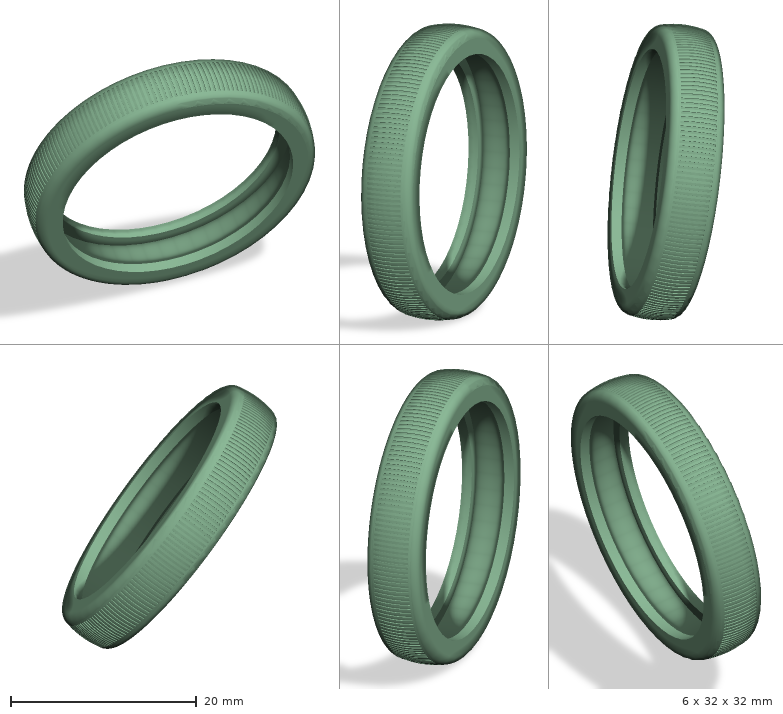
import cadquery as cq
import math

width = 6.0
outer_radius = 15.98
bore_radius = 13.0
crown_arc_radius = 9.5
edge_fillet = 1.0

recess_radius = 14.3
lip_width = 1.12

groove_count = 180
groove_length = 4.0
groove_depth = 0.1
groove_pitch_angle = 360 / groove_count
groove_width = math.pi * outer_radius / groove_count
first_groove_angle = -groove_pitch_angle / 4

sector_count = 4
sector_angle = 360 / sector_count
grooves_per_sector = groove_count // sector_count

half_width = width / 2
crown_centre_radius = outer_radius - crown_arc_radius
axis_start = cq.Vector(0, 0, 0)
axis_end = cq.Vector(1, 0, 0)


def point_on_arc(centre, radius, angle):
    """Point (x, r) on an arc, with the angle measured from the radial direction toward +X."""
    return (centre[0] + radius * math.sin(angle), centre[1] + radius * math.cos(angle))


def mirrored(point):
    return (-point[0], point[1])


def make_plain_sector():
    """Revolve the section: crowned rim, rounded edges tangent to the crown, recessed bore."""
    fillet_centre_x = half_width - edge_fillet
    inner_arc_radius = crown_arc_radius - edge_fillet
    tangent_angle = math.asin(fillet_centre_x / inner_arc_radius)
    fillet_centre = point_on_arc((0, crown_centre_radius), inner_arc_radius, tangent_angle)
    crown_end = point_on_arc(fillet_centre, edge_fillet, tangent_angle)
    fillet_middle = point_on_arc(fillet_centre, edge_fillet, (tangent_angle + math.pi / 2) / 2)
    face_edge = (half_width, fillet_centre[1])
    recess_end_x = half_width - lip_width

    section = (
        cq.Workplane("XZ")
        .moveTo(-half_width, bore_radius)
        .lineTo(*mirrored(face_edge))
        .threePointArc(mirrored(fillet_middle), mirrored(crown_end))
        .threePointArc((0, outer_radius), crown_end)
        .threePointArc(fillet_middle, face_edge)
        .lineTo(half_width, bore_radius)
        .lineTo(recess_end_x, bore_radius)
        .lineTo(recess_end_x, recess_radius)
        .lineTo(-recess_end_x, recess_radius)
        .lineTo(-recess_end_x, bore_radius)
        .close()
    )
    return section.revolve(sector_angle, axis_start.toTuple(), axis_end.toTuple()).val()


def make_groove_cutter():
    """Bar along X whose floor follows the crown at the groove depth."""
    half_length = groove_length / 2
    floor_arc_radius = crown_arc_radius - groove_depth
    floor_angle = math.asin(half_length / floor_arc_radius)
    floor_end = point_on_arc((0, crown_centre_radius), floor_arc_radius, floor_angle)
    clear_radius = outer_radius + groove_depth
    cutter = (
        cq.Workplane("XZ")
        .moveTo(*mirrored(floor_end))
        .threePointArc((0, outer_radius - groove_depth), floor_end)
        .lineTo(half_length, clear_radius)
        .lineTo(-half_length, clear_radius)
        .close()
        .extrude(groove_width / 2, both=True)
    )
    return cutter.val()


def make_grooved_sector():
    """One sector with its grooves, starting midway between two grooves."""
    start_angle = first_groove_angle - groove_pitch_angle / 2
    sector = make_plain_sector().rotate(axis_start, axis_end, start_angle)
    cutter = make_groove_cutter()
    cutters = []
    for i in range(grooves_per_sector):
        angle = first_groove_angle + i * groove_pitch_angle
        cutters.append(cutter.rotate(axis_start, axis_end, angle))
    return sector.cut(*cutters)


def make_ring():
    """Repeat the grooved sector around the axis and join the copies."""
    sector = make_grooved_sector()
    sectors = [sector.rotate(axis_start, axis_end, i * sector_angle) for i in range(sector_count)]
    return sectors[0].fuse(*sectors[1:]).clean()


result = cq.Workplane(make_ring().Solids()[0])